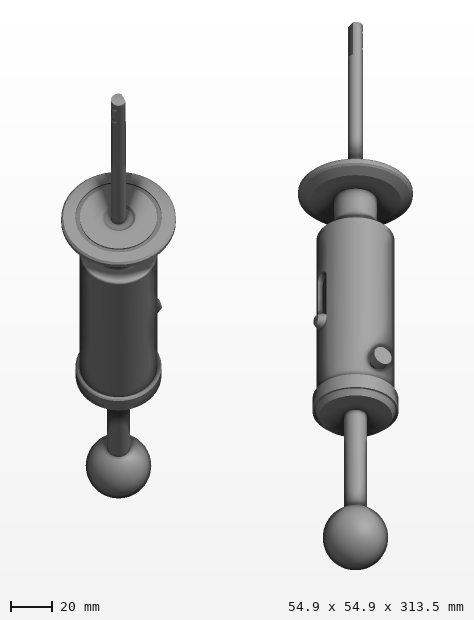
import cadquery as cq

total_height = 313.5
flange_top_z = 218.0
body_top_z = 189.7
cap_top_z = 97.2

ball_radius = 15.7
grip_rod_radius = 5.5

body_radius = 18.65
body_top_fillet = 1.0
cap_radius = 20.55
cap_height = 8.0
cap_edge_chamfer = 0.5
cap_nose_height = 2.8
cap_nose_base_radius = 19.5
cap_nose_end_radius = 17.5

neck_radius = 10.5
neck_fillet = 1.3
flange_radius = 27.45
flange_chamfer = 1.0
flange_rim_height = 4.0
flange_height = 6.3
flange_taper_radius = 21.5
face_groove_outer_radius = 20.7
face_groove_inner_radius = 18.5
face_groove_depth = 1.0
dish_top_radius = 8.0
dish_floor_radius = 7.0
dish_depth = 1.0

rod_radius = 3.6
flat_length = 18.8
flat_depth = 1.0
groove_half_width = 2.0
groove_depth = 1.5
groove_offsets = (4.5, 13.8)

screw_z = 105.0
screw_shank_radius = 2.2
screw_head_radius = 4.7
screw_head_thickness = 5.0
screw_reach = 27.3

slot_top_z = 163.7
slot_width = 8.8
slot_depth = 3.0
pin_base_radius = 4.0
pin_tip_radius = 2.5
pin_base_y = 18.8
pin_reach = 21.5
pin_z = 135.2


def cylinder(radius, bottom_z, top_z):
    """Cylinder on the Z axis between two heights."""
    return cq.Workplane("XY").workplane(offset=bottom_z).circle(radius).extrude(top_z - bottom_z)


def cone(bottom_radius, top_radius, bottom_z, top_z):
    """Cone frustum on the Z axis between two heights."""
    return (
        cq.Workplane("XY").workplane(offset=bottom_z).circle(bottom_radius)
        .workplane(offset=top_z - bottom_z).circle(top_radius).loft()
    )


def make_grip():
    """Ball with the pull rod running up into the housing cap."""
    ball = cq.Workplane("XY").sphere(ball_radius).translate((0, 0, ball_radius))
    return ball.union(cylinder(grip_rod_radius, ball_radius, cap_top_z))


def make_housing():
    """Cylinder with a wider end cap that narrows to a tapered nose."""
    cap_bottom_z = cap_top_z - cap_height
    cap = cylinder(cap_radius, cap_bottom_z, cap_top_z).faces(">Z").edges().chamfer(cap_edge_chamfer)
    nose = cone(cap_nose_end_radius, cap_nose_base_radius, cap_bottom_z - cap_nose_height, cap_bottom_z)
    body = cylinder(body_radius, cap_top_z, body_top_z).faces(">Z").edges().fillet(body_top_fillet)
    return cap.union(nose).union(body)


def make_neck():
    """Neck with a concave fillet where it meets the housing."""
    foot_radius = neck_radius + neck_fillet
    fillet_top_z = body_top_z + neck_fillet
    return (
        cq.Workplane("XZ")
        .moveTo(0, body_top_z)
        .lineTo(foot_radius, body_top_z)
        .radiusArc((neck_radius, fillet_top_z), neck_fillet)
        .lineTo(neck_radius, flange_top_z - flange_height)
        .lineTo(0, flange_top_z - flange_height)
        .close()
        .revolve(360, (0, 0, 0), (0, 1, 0))
    )


def make_flange():
    """Flange with a tapered back, a ring groove in its face and a shallow dish around the rod."""
    rim_bottom_z = flange_top_z - flange_rim_height
    rim = cylinder(flange_radius, rim_bottom_z, flange_top_z).edges().chamfer(flange_chamfer)
    back = cone(
        flange_taper_radius, flange_radius - flange_chamfer,
        flange_top_z - flange_height, rim_bottom_z,
    )
    face_groove = (
        cq.Workplane("XY").workplane(offset=flange_top_z)
        .circle(face_groove_outer_radius)
        .circle(face_groove_inner_radius)
        .extrude(-face_groove_depth)
    )
    dish = cone(dish_floor_radius, dish_top_radius, flange_top_z - dish_depth, flange_top_z)
    return rim.union(back).cut(face_groove).cut(dish)


def make_working_rod():
    """Slim rod with a flat on its +Y side and grooves across its -Y side."""
    rod = cylinder(rod_radius, flange_top_z - flange_height, total_height)
    flat = (
        cq.Workplane("XY")
        .box(2 * rod_radius, flat_depth, flat_length, centered=(True, False, False))
        .translate((0, rod_radius - flat_depth, total_height - flat_length))
    )
    rod = rod.cut(flat)
    for offset in groove_offsets:
        groove = (
            cq.Workplane("YZ")
            .center(-rod_radius, total_height - offset)
            .polyline([(0, -groove_half_width), (groove_depth, 0), (0, groove_half_width)])
            .close()
            .extrude(rod_radius, both=True)
        )
        rod = rod.cut(groove)
    return rod


def make_locking_screw():
    """Thumb screw whose shank runs into the housing wall."""
    axis_plane = cq.Workplane("YZ", origin=(-screw_reach, 0, screw_z))
    head = axis_plane.circle(screw_head_radius).extrude(screw_head_thickness)
    shank = axis_plane.circle(screw_shank_radius).extrude(screw_reach - body_radius / 2)
    return head.union(shank)


def make_indicator_slot():
    """Upright round-ended slot whose lower end is centred on the pin."""
    slot_length = slot_top_z - pin_z + slot_width / 2
    return (
        cq.Workplane("XZ", origin=(0, body_radius, slot_top_z - slot_length / 2))
        .slot2D(slot_length, slot_width, 90)
        .extrude(slot_depth)
    )


def make_indicator_pin():
    """Round pin rooted below the slot floor, with a tapered end."""
    root_y = body_radius - 2 * slot_depth
    return (
        cq.Workplane("YZ")
        .polyline([
            (root_y, pin_z),
            (root_y, pin_z + pin_base_radius),
            (pin_base_y, pin_z + pin_base_radius),
            (pin_reach, pin_z + pin_tip_radius),
            (pin_reach, pin_z),
        ])
        .close()
        .revolve(360, (0, pin_z, 0), (1, pin_z, 0))
    )


result = (
    make_housing()
    .cut(make_indicator_slot())
    .union(make_indicator_pin())
    .union(make_locking_screw())
    .union(make_grip())
    .union(make_neck())
    .union(make_flange())
    .union(make_working_rod())
)